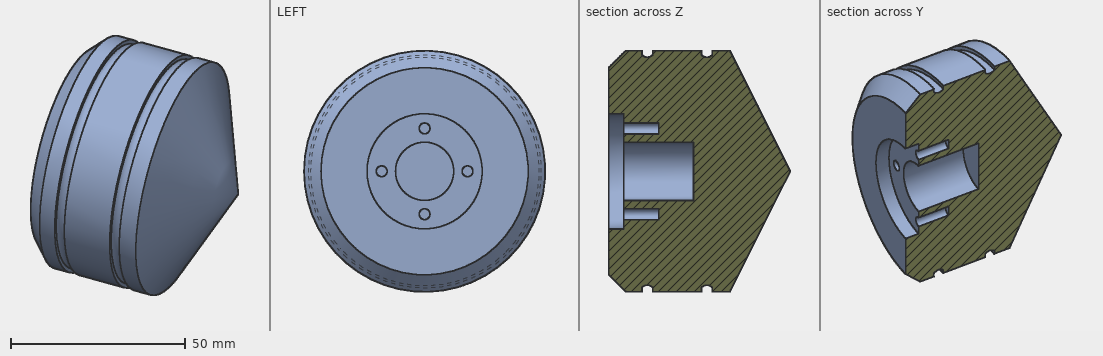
import cadquery as cq

outer_radius = 34.6
total_length = 52.14
cone_height = outer_radius / 2
cone_base_x = total_length - cone_height
chamfer = 4.9

groove_width = 3.0
groove_wall_depth = 1.2
groove_depth = 1.85
groove_centers_x = (11.1, 28.2)
cut_clearance = 1.0

recess_diameter = 33.0
recess_depth = 4.35
bore_diameter = 16.7
bore_depth = 20.0
bolt_circle_diameter = 24.6
bolt_hole_diameter = 3.1
bolt_hole_depth = 10.0
bolt_hole_count = 4


def revolve_about_x(profile):
    return profile.close().revolve(360, (0, 0, 0), (1, 0, 0))


def make_body():
    return revolve_about_x(
        cq.Workplane("XY")
        .lineTo(0, outer_radius - chamfer)
        .lineTo(chamfer, outer_radius)
        .lineTo(cone_base_x, outer_radius)
        .lineTo(total_length, 0)
    )


def make_groove_ring(center_x):
    left = center_x - groove_width / 2
    right = center_x + groove_width / 2
    ring_radius = outer_radius + cut_clearance
    wall_radius = outer_radius - groove_wall_depth
    floor_radius = outer_radius - groove_depth
    return revolve_about_x(
        cq.Workplane("XY")
        .moveTo(left, ring_radius)
        .lineTo(left, wall_radius)
        .threePointArc((center_x, floor_radius), (right, wall_radius))
        .lineTo(right, ring_radius)
    )


def make_face_cut(diameter, start_x, depth):
    return cq.Workplane("YZ", origin=(start_x, 0, 0)).circle(diameter / 2).extrude(depth)


def make_bolt_holes():
    return (
        cq.Workplane("YZ", origin=(recess_depth, 0, 0))
        .polarArray(bolt_circle_diameter / 2, 0, 360, bolt_hole_count)
        .circle(bolt_hole_diameter / 2)
        .extrude(bolt_hole_depth)
    )


result = make_body()
for groove_center_x in groove_centers_x:
    result = result.cut(make_groove_ring(groove_center_x))
result = result.cut(make_face_cut(recess_diameter, 0, recess_depth))
result = result.cut(make_face_cut(bore_diameter, recess_depth, bore_depth))
result = result.cut(make_bolt_holes())